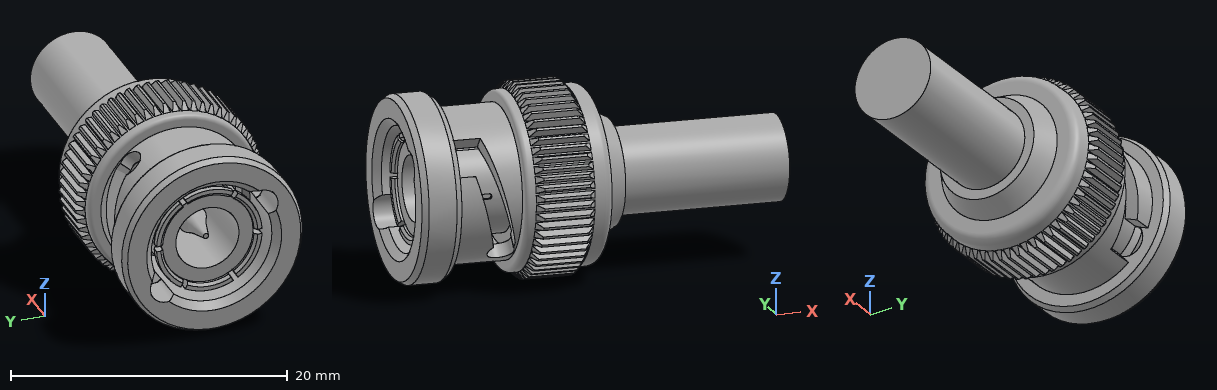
import cadquery as cq
import math


flange_length = 3.03
flange_radius = 6.98
flange_chamfer_length = 0.46
collar_radius = 13.38 / 2
flange_face_radius = collar_radius
barrel_radius = 5.76
collar_start = 7.93
collar_end = 14.62
collar_front_fillet = 0.36
collar_rear_fillet = 0.7
bore_radius = 9.32 / 2
bore_mouth_radius = 5.21
bore_mouth_depth = 0.55

knurl_start = 8.68
knurl_end = 13.14
knurl_chamfer_length = 0.5
knurl_radius = 7.235
tooth_count = 60
tooth_embed_depth = 0.1
tooth_root_radius = collar_radius - tooth_embed_depth
tooth_root_width = 0.62
tooth_tip_width = 0.2

slot_count = 2
entry_angle = 35.5
entry_half_angle = 14.5
entry_end = 5.0
keyway_center_radius = 4.52
keyway_radius = 1.25
ramp_start = 4.5
ramp_end = 7.72
ramp_start_low_angle = entry_angle - entry_half_angle
ramp_width_angle = 61.0
ramp_twist_rate = 36.5
ramp_last_angle = -41.0
detent_angle = -46.5
detent_x = 6.84
detent_radius = 1.0
cut_clearance = 0.3
slot_inner_radius = bore_radius - cut_clearance
slot_outer_radius = barrel_radius + cut_clearance
limit_margin = 0.1

overall_length = 29.02
shoulder_start = collar_start
cone_large_radius = 4.95
cone_small_radius = 8.06 / 2
cone_end = 16.31
tube_radius = 6.5 / 2
finger_tip_x = 1.0
finger_lip_radius = 8.16 / 2
finger_lip_length = 0.5
finger_radius = 7.5 / 2
finger_bore_radius = 7.06 / 2
finger_mouth_radius = finger_radius
finger_mouth_depth = 0.2
finger_slit_count = 6
finger_slit_width = 0.4
finger_slit_end = 6.24
insulator_face_x = 1.4
insulator_bore_radius = 4.88 / 2
insulator_bore_end = shoulder_start
pin_radius = 2.18 / 2
pin_tip_x = 1.7
pin_taper_length = 1.8
pin_taper_radius = 1.37 / 2
pin_tip_radius = 0.2
pin_step_x = 4.5


def revolve_x(profile):
    """Turn a closed (X, radius) profile a full turn about the X axis."""
    return profile.close().revolve(360, (0, 0, 0), (1, 0, 0))


def tube_x(start, end, outer, inner):
    """Plain ring about the X axis."""
    ring = cq.Workplane("YZ", origin=(start, 0, 0)).circle(outer).circle(inner)
    return ring.extrude(end - start)


def ring_point(radius, angle):
    """YZ sketch point at an angle turned from -Y towards +Z."""
    turn = math.radians(angle)
    return (-radius * math.cos(turn), radius * math.sin(turn))


def ring_sector(start, low, high, margin=0):
    """Closed annular sector sketch that spans the barrel wall, widened in radius by a margin."""
    inner = slot_inner_radius - margin
    outer = slot_outer_radius + margin
    middle = (low + high) / 2
    return (
        cq.Workplane("YZ", origin=(start, 0, 0))
        .moveTo(*ring_point(inner, low))
        .lineTo(*ring_point(outer, low))
        .threePointArc(ring_point(outer, middle), ring_point(outer, high))
        .lineTo(*ring_point(inner, high))
        .threePointArc(ring_point(inner, middle), ring_point(inner, low))
        .close()
    )


def nut_blank():
    """Flange, barrel and collar with a bore that widens at the mouth."""
    rear_arc = math.sqrt(0.5) * collar_rear_fillet
    front_arc = math.sqrt(0.5) * collar_front_fillet
    profile = (
        cq.Workplane("XZ")
        .moveTo(0, bore_mouth_radius)
        .lineTo(0, flange_face_radius)
        .lineTo(flange_chamfer_length, flange_radius)
        .lineTo(flange_length - flange_chamfer_length, flange_radius)
        .lineTo(flange_length, flange_face_radius)
        .lineTo(flange_length, barrel_radius)
        .lineTo(collar_start, barrel_radius)
        .lineTo(collar_start, collar_radius - collar_front_fillet)
        .threePointArc(
            (collar_start + collar_front_fillet - front_arc, collar_radius - collar_front_fillet + front_arc),
            (collar_start + collar_front_fillet, collar_radius),
        )
        .lineTo(collar_end - collar_rear_fillet, collar_radius)
        .threePointArc(
            (collar_end - collar_rear_fillet + rear_arc, collar_radius - collar_rear_fillet + rear_arc),
            (collar_end, collar_radius - collar_rear_fillet),
        )
        .lineTo(collar_end, bore_radius)
        .lineTo(bore_mouth_depth, bore_radius)
    )
    return revolve_x(profile)


def knurl():
    """Ring of trapezoid teeth with their ends chamfered."""
    tooth = (
        cq.Workplane("YZ", origin=(knurl_start, 0, 0))
        .moveTo(tooth_root_radius, -tooth_root_width / 2)
        .lineTo(knurl_radius, -tooth_tip_width / 2)
        .lineTo(knurl_radius, tooth_tip_width / 2)
        .lineTo(tooth_root_radius, tooth_root_width / 2)
        .close()
        .extrude(knurl_end - knurl_start)
    )
    envelope = revolve_x(
        cq.Workplane("XZ")
        .moveTo(knurl_start, 0)
        .lineTo(knurl_start, collar_radius)
        .lineTo(knurl_start + knurl_chamfer_length, knurl_radius)
        .lineTo(knurl_end - knurl_chamfer_length, knurl_radius)
        .lineTo(knurl_end, collar_radius)
        .lineTo(knurl_end, 0)
    )
    tooth = tooth.intersect(envelope)
    pitch = 360 / tooth_count
    teeth = cq.Workplane("XY")
    for i in range(tooth_count):
        teeth = teeth.add(tooth.rotate((0, 0, 0), (1, 0, 0), (i + 0.5) * pitch))
    return teeth


def bayonet_cutter():
    """One bayonet slot: keyway, straight entry, helical ramp and round detent hole."""
    keyway = (
        cq.Workplane("YZ")
        .center(*ring_point(keyway_center_radius, entry_angle))
        .circle(keyway_radius)
        .extrude(flange_length)
    )
    entry_low = entry_angle - entry_half_angle
    entry_high = entry_angle + entry_half_angle
    entry = ring_sector(flange_length, entry_low, entry_high).extrude(entry_end - flange_length)
    ramp_length = ramp_end - ramp_start
    ramp = ring_sector(ramp_start, ramp_start_low_angle, ramp_start_low_angle + ramp_width_angle)
    ramp = ramp.twistExtrude(ramp_length, ramp_twist_rate * ramp_length)
    ramp_limits = ring_sector(ramp_start - limit_margin, ramp_last_angle, entry_high, limit_margin)
    ramp_limits = ramp_limits.extrude(ramp_length + 2 * limit_margin)
    ramp = ramp.intersect(ramp_limits)
    detent_direction = cq.Vector(0, *ring_point(1, detent_angle))
    detent_plane = cq.Plane(
        origin=cq.Vector(detent_x, 0, 0) + detent_direction * slot_inner_radius,
        xDir=(1, 0, 0),
        normal=detent_direction,
    )
    detent = cq.Workplane(detent_plane).circle(detent_radius).extrude(slot_outer_radius - slot_inner_radius)
    return [keyway, entry, ramp, detent]


def make_coupling_nut():
    nut = nut_blank().union(knurl().combine())
    for i in range(slot_count):
        for cutter in bayonet_cutter():
            nut = nut.cut(cutter.rotate((0, 0, 0), (1, 0, 0), i * 360 / slot_count))
    return nut


def contact_fingers():
    """Slit sleeve with an outer lip and a flared mouth."""
    sleeve = revolve_x(
        cq.Workplane("XZ")
        .moveTo(finger_tip_x, finger_mouth_radius)
        .lineTo(finger_tip_x, finger_lip_radius)
        .lineTo(finger_tip_x + finger_lip_length, finger_lip_radius)
        .lineTo(finger_tip_x + 2 * finger_lip_length, finger_radius)
        .lineTo(shoulder_start, finger_radius)
        .lineTo(shoulder_start, finger_bore_radius)
        .lineTo(finger_tip_x + finger_mouth_depth, finger_bore_radius)
    )
    slit_length = finger_slit_end - finger_tip_x
    slit = (
        cq.Workplane("XZ")
        .center(finger_tip_x, 0)
        .slot2D(2 * slit_length, finger_slit_width)
        .extrude(finger_lip_radius)
    )
    for i in range(finger_slit_count):
        sleeve = sleeve.cut(slit.rotate((0, 0, 0), (1, 0, 0), i * 360 / finger_slit_count))
    return sleeve


def center_pin():
    return revolve_x(
        cq.Workplane("XZ")
        .moveTo(pin_tip_x, 0)
        .lineTo(pin_tip_x, pin_tip_radius)
        .lineTo(pin_tip_x + pin_taper_length, pin_taper_radius)
        .lineTo(pin_step_x, pin_radius)
        .lineTo(insulator_bore_end, pin_radius)
        .lineTo(insulator_bore_end, 0)
    )


def rear_body():
    """Core held in the nut bore, rear cone and cable tube."""
    return revolve_x(
        cq.Workplane("XZ")
        .moveTo(shoulder_start, 0)
        .lineTo(shoulder_start, bore_radius)
        .lineTo(collar_end, bore_radius)
        .lineTo(collar_end, cone_large_radius)
        .lineTo(cone_end, cone_small_radius)
        .lineTo(cone_end, tube_radius)
        .lineTo(overall_length, tube_radius)
        .lineTo(overall_length, 0)
    )


def make_connector_body():
    insulator = tube_x(insulator_face_x, insulator_bore_end, finger_bore_radius, insulator_bore_radius)
    return rear_body().union(contact_fingers()).union(insulator).union(center_pin())


coupling_nut = make_coupling_nut()
connector_body = make_connector_body()

result = cq.Compound.makeCompound([coupling_nut.val(), connector_body.val()])